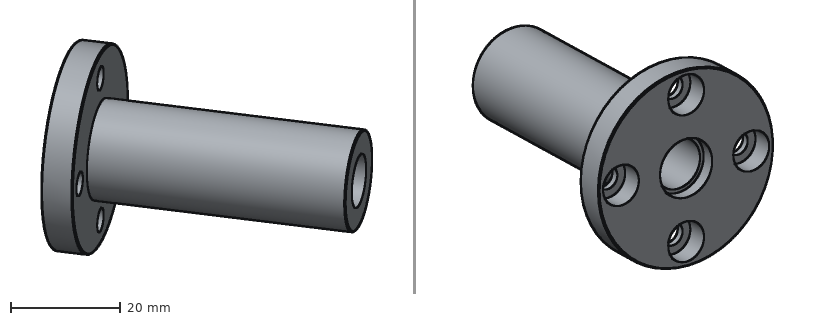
import cadquery as cq

total_length = 55.0
flange_diameter = 39.0
flange_thickness = 6.0
sleeve_diameter = 19.0
edge_chamfer = 0.2

bore_diameter = 10.0
recess_diameter = 11.6
recess_depth = 2.75

screw_count = 4
screw_circle_radius = 14.5
screw_hole_diameter = 4.5
counterbore_diameter = 8.0
counterbore_depth = 4.4


def cylinder(diameter, start, length):
    """Cylinder along +X whose first face lies at x = start."""
    return cq.Workplane("YZ", origin=(start, 0, 0)).circle(diameter / 2).extrude(length)


def make_body():
    flange = cylinder(flange_diameter, 0, flange_thickness).edges().chamfer(edge_chamfer)
    sleeve = cylinder(sleeve_diameter, 0, total_length).faces(">X").edges().chamfer(edge_chamfer)
    return flange.union(sleeve)


def make_bore():
    bore = cylinder(bore_diameter, 0, total_length)
    recess = cylinder(recess_diameter, 0, recess_depth)
    return bore.union(recess)


def make_screw_hole():
    hole = cylinder(screw_hole_diameter, 0, flange_thickness)
    counterbore = cylinder(counterbore_diameter, 0, counterbore_depth)
    return hole.union(counterbore).translate((0, screw_circle_radius, 0))


result = make_body().cut(make_bore())
for index in range(screw_count):
    angle = index * 360 / screw_count
    result = result.cut(make_screw_hole().rotate((0, 0, 0), (1, 0, 0), angle))

result = result.translate((-total_length / 2, 0, 0))